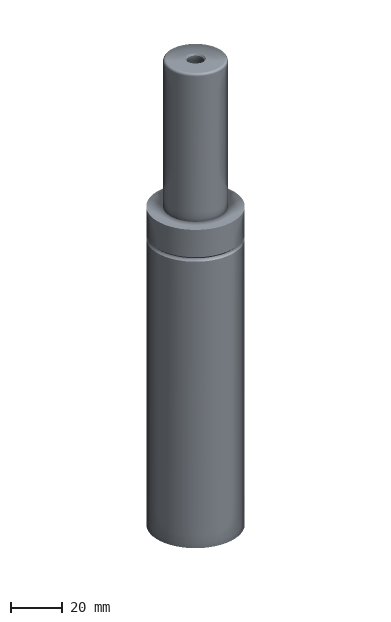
import cadquery as cq
import math

body_diameter = 38.0
body_height = 140.0

overall_height = 205.0
rod_diameter = 25.0
rod_end_radius = 1.0

collar_height = 12.0
groove_width = 2.0
groove_depth = groove_width / 2

hole_diameter = 6.8
hole_mouth_diameter = 8.0
hole_depth = 15.0
drill_point_angle = 118.0


def revolve_about_z(profile):
    """Turn a closed XZ profile through a full circle about the Z axis."""
    return profile.revolve(360, (0, 0, 0), (0, 1, 0))


def make_body():
    """Plain cylinder with the V-groove below its collar."""
    radius = body_diameter / 2
    upper_edge = body_height - collar_height
    lower_edge = upper_edge - groove_width
    groove_middle = (upper_edge + lower_edge) / 2
    profile = (
        cq.Workplane("XZ")
        .lineTo(radius, 0)
        .lineTo(radius, lower_edge)
        .lineTo(radius - groove_depth, groove_middle)
        .lineTo(radius, upper_edge)
        .lineTo(radius, body_height)
        .lineTo(0, body_height)
        .close()
    )
    return revolve_about_z(profile)


def make_rod():
    """Rod with a rounded free end."""
    return (
        cq.Workplane("XY")
        .workplane(offset=body_height)
        .circle(rod_diameter / 2)
        .extrude(overall_height - body_height)
        .faces(">Z")
        .edges()
        .fillet(rod_end_radius)
    )


def make_hole():
    """Solid in the shape of the drilled hole, to be cut from the rod end."""
    radius = hole_diameter / 2
    mouth_radius = hole_mouth_diameter / 2
    mouth_depth = mouth_radius - radius
    point_start = overall_height - hole_depth
    point_length = radius / math.tan(math.radians(drill_point_angle / 2))
    profile = (
        cq.Workplane("XZ")
        .moveTo(0, overall_height)
        .lineTo(mouth_radius, overall_height)
        .lineTo(radius, overall_height - mouth_depth)
        .lineTo(radius, point_start)
        .lineTo(0, point_start - point_length)
        .close()
    )
    return revolve_about_z(profile)


result = make_body().union(make_rod()).cut(make_hole())